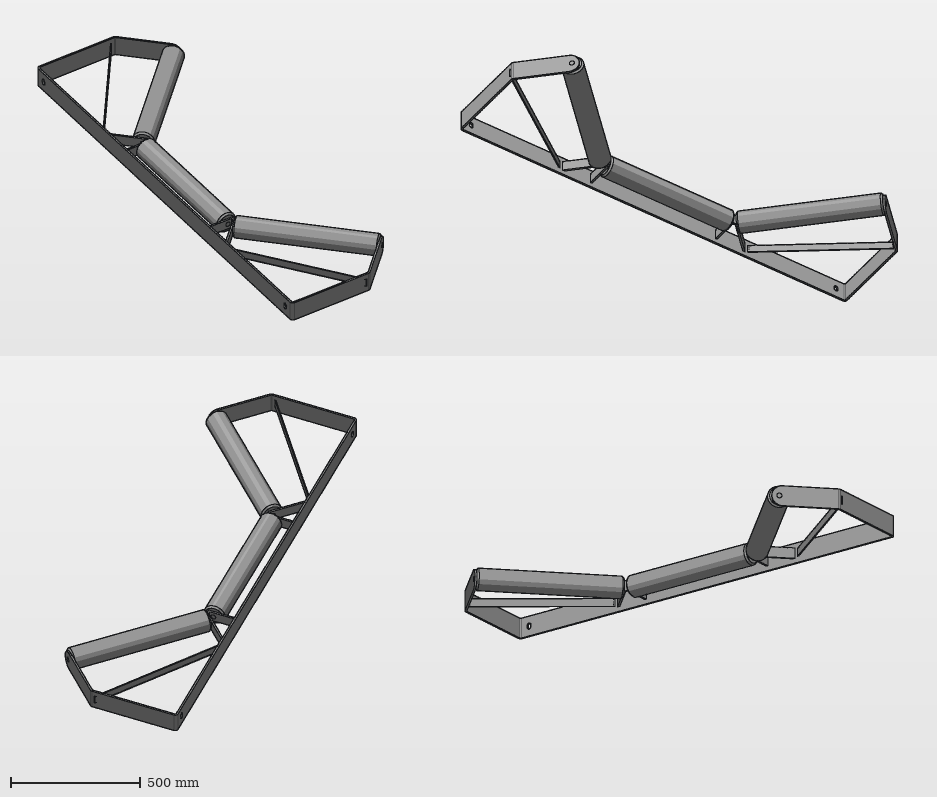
import cadquery as cq
import math

frame_length = 1800
bar_height = 83.0
bar_thickness = 8.0
bend_radius = 13.0
side_height = 360
wing_end_radius = 40.0
wing_tip_past_axis = 29.0

slot_inset = 49.0
slot_width = 16.0
slot_height = 25.0

wing_angle = 45
roller_diameter = 88.0
roller_length = 576
roller_chamfer = 7.0
shaft_diameter = 20.0
middle_axis_y = 100.0
right_axis_x = 207.0

bracket_height = 43.0
bridge_y = 125.0

brace_height = 32.0
brace_thickness = 4.5
brace_top_y = 342
brace_foot_x = 445.0

half_length = frame_length / 2
inner_bend_radius = bend_radius - bar_thickness
bend_setback = bar_thickness * math.tan(math.radians(wing_angle / 2))
shaft_length = roller_length + 2 * bar_thickness

slant = math.sqrt(2)
wing_outer_sum = half_length + side_height
wing_inner_sum = wing_outer_sum - bar_thickness * slant
leg_inner_sum = wing_inner_sum - roller_length * slant
leg_outer_sum = leg_inner_sum - bar_thickness * slant


def point_on_wing(coordinate_sum, past_axis=0):
    """Point with the given X + Y, at a distance up the wing from the right roller's axis."""
    difference = right_axis_x - past_axis * slant
    return (coordinate_sum + difference) / 2, (coordinate_sum - difference) / 2


def flat_shape(points, height):
    """Upright prism centred on Z = 0."""
    return cq.Workplane("XY").polyline(points).close().extrude(height / 2, both=True)


def round_edge(body, x, y, z, radius):
    """Fillet the edge whose middle is nearest to the point."""
    return body.edges(cq.NearestToPointSelector((x, y, z))).fillet(radius)


def make_frame():
    inner_x = half_length - bar_thickness
    inner_bend_y = side_height - bend_setback
    right_half = [
        (half_length, 0),
        (half_length, side_height),
        point_on_wing(wing_outer_sum, wing_tip_past_axis),
        point_on_wing(wing_inner_sum, wing_tip_past_axis),
        (inner_x, inner_bend_y),
        (inner_x, bar_thickness),
    ]
    left_half = [(-x, y) for x, y in reversed(right_half)]
    frame = flat_shape(right_half + left_half, bar_height)

    tip_x, tip_y = point_on_wing((wing_outer_sum + wing_inner_sum) / 2, wing_tip_past_axis)
    for side in (-1, 1):
        frame = round_edge(frame, side * half_length, 0, 0, bend_radius)
        frame = round_edge(frame, side * half_length, side_height, 0, bend_radius)
        frame = round_edge(frame, side * inner_x, inner_bend_y, 0, inner_bend_radius)
        frame = round_edge(frame, side * inner_x, bar_thickness, 0, inner_bend_radius)
        for z in (-bar_height / 2, bar_height / 2):
            frame = round_edge(frame, side * tip_x, tip_y, z, wing_end_radius)

    slot_x = half_length - slot_inset
    slots = (
        cq.Workplane("XZ")
        .pushPoints([(-slot_x, 0), (slot_x, 0)])
        .slot2D(slot_height, slot_width, 90)
        .extrude(-bar_thickness)
    )
    return frame.cut(slots)


def make_bracket(side):
    """Slanted leg, short bridge and upright post bent from one bar, standing on the base."""
    post_inner_x = roller_length / 2
    post_outer_x = post_inner_x + bar_thickness
    base_y = bar_thickness
    under_bridge_y = bridge_y - bar_thickness
    points = [
        (post_inner_x, base_y),
        (post_inner_x, bridge_y),
        (leg_inner_sum - bridge_y, bridge_y),
        (leg_inner_sum - base_y, base_y),
        (leg_outer_sum - base_y, base_y),
        (leg_outer_sum - under_bridge_y, under_bridge_y),
        (post_outer_x, under_bridge_y),
        (post_outer_x, base_y),
    ]
    return flat_shape([(side * x, y) for x, y in points], bracket_height)


def make_brace(side):
    """Thin stay from the base to the outer face of the frame's upright side."""
    rise = brace_top_y - bar_thickness
    run = half_length - brace_foot_x
    stay_length = math.hypot(rise, run)
    foot_width = brace_thickness * stay_length / rise
    end_width = brace_thickness * stay_length / run
    points = [
        (brace_foot_x, bar_thickness),
        (half_length, brace_top_y),
        (half_length, brace_top_y + end_width),
        (brace_foot_x - foot_width, bar_thickness),
    ]
    return flat_shape([(side * x, y) for x, y in points], brace_height)


def cylinder_along_x(diameter, length):
    return cq.Workplane("YZ", origin=(-length / 2, 0, 0)).circle(diameter / 2).extrude(length)


def make_roller(centre_x, centre_y, angle):
    """Chamfered roller with its shaft ends."""
    barrel = cylinder_along_x(roller_diameter, roller_length).faces("<X or >X").chamfer(roller_chamfer)
    roller = barrel.union(cylinder_along_x(shaft_diameter, shaft_length))
    return roller.rotate((0, 0, 0), (0, 0, 1), angle).translate((centre_x, centre_y, 0))


def cut_all(body, tools):
    for tool in tools:
        body = body.cut(tool)
    return body


right_centre_x, right_centre_y = point_on_wing((wing_inner_sum + leg_inner_sum) / 2)
rollers = [
    make_roller(side * right_centre_x, centre_y, side * wing_angle)
    for side, centre_y in ((-1, right_centre_y), (0, middle_axis_y), (1, right_centre_y))
]
braces = [make_brace(side) for side in (-1, 1)]

frame = cut_all(make_frame(), rollers + braces)
brackets = [cut_all(make_bracket(side), rollers) for side in (-1, 1)]

bodies = [frame, *brackets, *braces, *rollers]
result = cq.Compound.makeCompound([body.solids().val() for body in bodies])